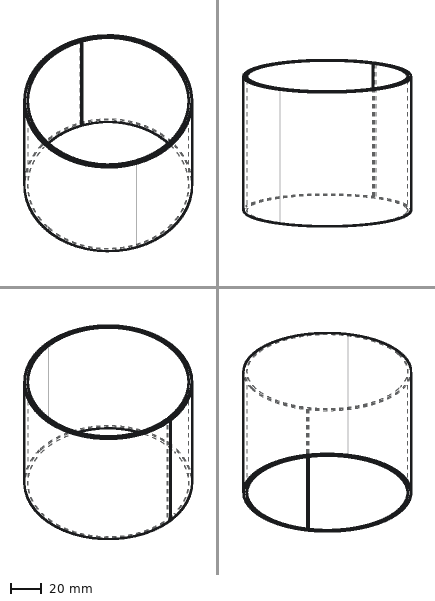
import cadquery as cq

outer_diameter = 110.0
wall = 2.5
length = 90.0
slit_width = 1.0
outer_chamfer = 0.5
inner_chamfer = 0.3

outer_radius = outer_diameter / 2
inner_radius = outer_radius - wall
half_length = length / 2

sleeve = (
    cq.Workplane("XZ")
    .moveTo(inner_radius + inner_chamfer, -half_length)
    .lineTo(outer_radius - outer_chamfer, -half_length)
    .lineTo(outer_radius, -half_length + outer_chamfer)
    .lineTo(outer_radius, half_length - outer_chamfer)
    .lineTo(outer_radius - outer_chamfer, half_length)
    .lineTo(inner_radius + inner_chamfer, half_length)
    .lineTo(inner_radius, half_length - inner_chamfer)
    .lineTo(inner_radius, -half_length + inner_chamfer)
    .close()
    .revolve(360, (0, 0, 0), (0, 1, 0))
)

slit = (
    cq.Workplane("XY")
    .box(2 * wall, slit_width, length)
    .translate((-inner_radius - wall / 2, slit_width / 2, 0))
)

result = sleeve.cut(slit)